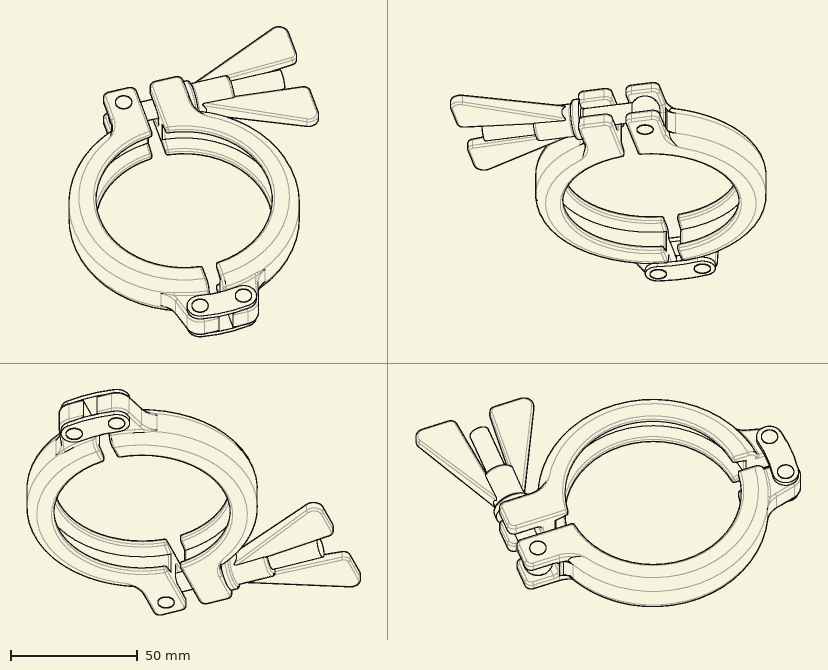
import cadquery as cq
import math


ring_outer_radius = 45.5
ring_inner_radius = 34.8
ring_half_height = 8.7
ring_outer_fillet = 4.0
groove_radius = 39.9
groove_half_height_back = 4.2
groove_half_height_mouth = 5.7
half_gap = 2.8

edge_fillet = 1.0

bolt_x = -52.3
lug_end_x = -59.5
lug_outer_y = 16.4
lug_corner_radius = 2.7
lug_blend_start_x = -45.8
lug_root_radius = 40.4
slot_end_x = -46.1
slot_corner_radius = 2.0
pivot_slot_half_height = 4.5
pivot_slot_fillet = edge_fillet
nut_slot_half_height = 3.5
nut_slot_fillet = 0.8

rivet_x = 52.6
rivet_y = 9.0
hinge_end_radius = 6.0
hinge_half_height = ring_half_height - ring_outer_fillet
hinge_flank_angle = math.radians(15)
hinge_blend_radius = 8.8
link_half_width = 5.2
link_thickness = 1.9

pin_radius = 3.3
head_standout = 0.3
dome_height = 0.7

bolt_radius = 4.0
bolt_tip_y = 55.7
pivot_y = -9.5
ball_radius = 6.0

collar_radius = 4.2
collar_bottom_y = 14.8
flange_radius = 8.0
flange_bottom_y = 15.7
flange_top_y = 19.1
barrel_radius = 6.5
barrel_top_y = 34.7
barrel_root_fillet = 0.7
wing_half_span = 24.7
wing_tip_y = 64.5
wing_root_y = 21.0
wing_lean_angle = math.radians(26.2)
wing_inner_tip_x = 7.2
wing_inner_root_x = 4.7
wing_inner_root_y = 33.4
wing_tip_half_thickness = 2.0
wing_taper_angle = math.radians(2)
wing_outer_corner_radius = 4.0
wing_inner_corner_radius = 2.7
wing_edge_fillet = 0.8

tolerance = 0.1


def polar(radius, angle, centre=(0, 0)):
    """Point at a radius and an angle from a centre."""
    return (centre[0] + radius * math.cos(angle), centre[1] + radius * math.sin(angle))


def z_cylinder(x, y, radius, half_length):
    return cq.Workplane("XY").center(x, y).circle(radius).extrude(half_length, both=True)


def y_cylinder(radius, start_y, end_y):
    return cq.Workplane("XZ", origin=(0, start_y, 0)).circle(radius).extrude(start_y - end_y)


def half_ring():
    """Ring on the +Y side of the gap, with a V groove inside and all its rims rounded."""
    section = (
        cq.Workplane("XZ")
        .moveTo(ring_inner_radius, ring_half_height)
        .lineTo(ring_outer_radius, ring_half_height)
        .lineTo(ring_outer_radius, -ring_half_height)
        .lineTo(ring_inner_radius, -ring_half_height)
        .lineTo(ring_inner_radius, -groove_half_height_mouth)
        .lineTo(groove_radius, -groove_half_height_back)
        .lineTo(groove_radius, groove_half_height_back)
        .lineTo(ring_inner_radius, groove_half_height_mouth)
        .close()
    )
    ring = section.revolve(360, (0, 0, 0), (0, 1, 0))
    ring = ring.edges(cq.selectors.RadiusNthSelector(0)).fillet(edge_fillet)
    ring = ring.edges(cq.selectors.RadiusNthSelector(-1)).fillet(ring_outer_fillet)
    size = 4 * ring_outer_radius
    gap_side = cq.Workplane("XY").box(size, size, size).translate((0, half_gap - size / 2, 0))
    return ring.cut(gap_side).faces("<Y").edges().fillet(edge_fillet)


def lug_blend(ring_radius):
    """Concave arc from the fork lug's outer edge, tangent to it and to a circle about the ring axis.

    Returns the arc's middle point, its end point and the polar angle of its end.
    """
    start_distance_squared = lug_blend_start_x**2 + lug_outer_y**2
    radius = (start_distance_squared - ring_radius**2) / (2 * (ring_radius - lug_outer_y))
    centre = (lug_blend_start_x, lug_outer_y + radius)
    end_angle = math.atan2(centre[1], centre[0])
    towards_start = -math.pi / 2
    towards_end = end_angle - math.pi
    middle = polar(radius, (towards_start + towards_end) / 2, centre)
    return middle, polar(ring_radius, end_angle), end_angle


def fork_slot(half_height):
    """Slot for the bolt, open towards -X, with rounded inner corners."""
    return (
        cq.Workplane("XY")
        .box(2 * (slot_end_x - lug_end_x), 3 * lug_outer_y, 2 * half_height)
        .edges("|Y and >X")
        .fillet(slot_corner_radius)
        .translate((lug_end_x, 0, 0))
    )


def fork_lug(slot_half_height, slot_fillet):
    """Full-height lug blended into the flat top of the ring, slotted for the bolt."""
    flat_radius = ring_outer_radius - ring_outer_fillet + edge_fillet
    blend_middle, blend_end, blend_angle = lug_blend(flat_radius)
    root_angle = math.pi - math.asin(half_gap / lug_root_radius)
    lug = (
        cq.Workplane("XY")
        .moveTo(lug_end_x, half_gap)
        .lineTo(lug_end_x, lug_outer_y)
        .lineTo(lug_blend_start_x, lug_outer_y)
        .threePointArc(blend_middle, blend_end)
        .lineTo(*polar(lug_root_radius, blend_angle))
        .threePointArc(
            polar(lug_root_radius, (blend_angle + root_angle) / 2),
            polar(lug_root_radius, root_angle),
        )
        .close()
        .extrude(ring_half_height, both=True)
    )
    lug = lug.edges("|Z and <X").fillet(lug_corner_radius)
    lug = lug.faces(">Z or <Z").edges().fillet(edge_fillet)
    lug = lug.cut(fork_slot(slot_half_height))

    reach = slot_half_height + tolerance
    slot_edges = cq.selectors.BoxSelector(
        (lug_end_x - tolerance, half_gap - tolerance, -reach),
        (slot_end_x + tolerance, lug_outer_y + tolerance, reach),
        boundingbox=True,
    )
    inner_edges = cq.selectors.BoxSelector(
        (lug_end_x + lug_corner_radius + tolerance, half_gap + tolerance, -reach),
        (slot_end_x + tolerance, lug_outer_y - tolerance, reach),
    )
    return lug.edges(slot_edges - inner_edges).fillet(slot_fillet)


def lug_web():
    """Concave web from the fork lug to the outer cylinder of the ring."""
    blend_middle, blend_end, blend_angle = lug_blend(ring_outer_radius)
    return (
        cq.Workplane("XY")
        .moveTo(lug_blend_start_x, lug_outer_y)
        .threePointArc(blend_middle, blend_end)
        .lineTo(*polar(lug_root_radius, blend_angle))
        .close()
        .extrude(hinge_half_height, both=True)
    )


def hinge_lug():
    """Lug rounded about the rivet, with a sloping flank blended into the ring."""
    rivet = (rivet_x, rivet_y)
    normal_angle = math.pi / 2 - hinge_flank_angle
    rivet_offset = math.hypot(*rivet) * math.cos(math.atan2(rivet_y, rivet_x) - normal_angle)

    centre_offset = rivet_offset + hinge_end_radius + hinge_blend_radius
    centre_distance = ring_outer_radius + hinge_blend_radius
    ring_angle = normal_angle - math.acos(centre_offset / centre_distance)
    centre = polar(centre_distance, ring_angle)
    blend_middle_angle = (ring_angle + normal_angle) / 2 + math.pi

    root_angle = math.asin(half_gap / lug_root_radius)
    lug = (
        cq.Workplane("XY")
        .moveTo(*polar(ring_outer_radius, ring_angle))
        .threePointArc(
            polar(hinge_blend_radius, blend_middle_angle, centre),
            polar(hinge_blend_radius, normal_angle + math.pi, centre),
        )
        .lineTo(*polar(hinge_end_radius, normal_angle, rivet))
        .threePointArc(
            polar(hinge_end_radius, normal_angle / 2, rivet),
            polar(hinge_end_radius, 0, rivet),
        )
        .lineTo(rivet_x + hinge_end_radius, half_gap)
        .lineTo(*polar(lug_root_radius, root_angle))
        .threePointArc(
            polar(lug_root_radius, (root_angle + ring_angle) / 2),
            polar(lug_root_radius, ring_angle),
        )
        .close()
        .extrude(hinge_half_height, both=True)
    )
    return lug.faces(">Z or <Z").edges().fillet(edge_fillet)


def is_hinge_joint(edge):
    """True for the arcs where the flat faces of the hinge lug meet the ring."""
    middle = edge.positionAt(0.5)
    on_face = abs(abs(middle.z) - hinge_half_height) < tolerance
    on_ring = abs(math.hypot(middle.x, middle.y) - ring_outer_radius) < tolerance
    beside_hinge = middle.x > lug_root_radius
    return on_face and on_ring and beside_hinge


def clamp_half(slot_half_height, slot_fillet):
    """Half ring on the +Y side with its fork lug and its hinge lug."""
    half = half_ring().union(fork_lug(slot_half_height, slot_fillet))
    half = half.union(lug_web()).union(hinge_lug())
    half = half.edges("%CIRCLE").filter(is_hinge_joint).fillet(edge_fillet)
    return half.cut(z_cylinder(rivet_x, rivet_y, pin_radius, ring_half_height))


def domed_pin(x, y, grip_half_length):
    """Pin along Z whose heads stand out a little and end in shallow domes."""
    head_z = grip_half_length + head_standout
    dome_radius = (pin_radius**2 + dome_height**2) / (2 * dome_height)
    middle_x = pin_radius / 2
    middle_z = head_z + dome_height - dome_radius + math.sqrt(dome_radius**2 - middle_x**2)
    profile = (
        cq.Workplane("XZ")
        .moveTo(0, -head_z - dome_height)
        .threePointArc((middle_x, -middle_z), (pin_radius, -head_z))
        .lineTo(pin_radius, head_z)
        .threePointArc((middle_x, middle_z), (0, head_z + dome_height))
        .close()
    )
    return profile.revolve(360, (0, 0, 0), (0, 1, 0)).translate((x, y, 0))


def link_plate():
    """Plate curved about the ring axis, with round ends about the rivets."""
    mid_radius = math.hypot(rivet_x, rivet_y)
    rivet_angle = math.atan2(rivet_y, rivet_x)
    inner_radius = mid_radius - link_half_width
    outer_radius = mid_radius + link_half_width
    upper_end = polar(link_half_width, rivet_angle + math.pi / 2, (rivet_x, rivet_y))
    lower_end = (upper_end[0], -upper_end[1])
    return (
        cq.Workplane("XY", origin=(0, 0, hinge_half_height))
        .moveTo(*polar(outer_radius, -rivet_angle))
        .threePointArc((outer_radius, 0), polar(outer_radius, rivet_angle))
        .threePointArc(upper_end, polar(inner_radius, rivet_angle))
        .threePointArc((inner_radius, 0), polar(inner_radius, -rivet_angle))
        .threePointArc(lower_end, polar(outer_radius, -rivet_angle))
        .close()
        .extrude(link_thickness)
    )


def hinge_link():
    """Two plates, above and below the hinge lugs, joined by two rivets."""
    plate = link_plate()
    link = plate
    for y in (-rivet_y, rivet_y):
        link = link.union(domed_pin(rivet_x, y, hinge_half_height + link_thickness))
    return link.union(plate.mirror("XY"))


def wing():
    """Wing on the +X side of the nut, thinning towards its tip."""
    outer_tip_angle = math.pi / 2 - wing_lean_angle
    outer_tip_x = wing_half_span + wing_outer_corner_radius * (1 / math.tan(outer_tip_angle / 2) - 1)
    wing_length = wing_tip_y - wing_root_y
    root_x = outer_tip_x - wing_length * math.tan(wing_lean_angle)
    root_half_thickness = wing_tip_half_thickness + wing_length * math.tan(wing_taper_angle)

    outline = (
        cq.Workplane("XY")
        .moveTo(0, wing_root_y)
        .lineTo(root_x, wing_root_y)
        .lineTo(outer_tip_x, wing_tip_y)
        .lineTo(wing_inner_tip_x, wing_tip_y)
        .lineTo(wing_inner_root_x, wing_inner_root_y)
        .lineTo(0, wing_inner_root_y)
        .close()
        .extrude(2 * root_half_thickness, both=True)
    )
    inner_tip = cq.selectors.NearestToPointSelector((wing_inner_tip_x, wing_tip_y, 0))
    outline = outline.edges("|Z and >X").fillet(wing_outer_corner_radius)
    outline = outline.edges(inner_tip).fillet(wing_inner_corner_radius)

    taper = (
        cq.Workplane("YZ")
        .moveTo(wing_root_y, -root_half_thickness)
        .lineTo(wing_tip_y, -wing_tip_half_thickness)
        .lineTo(wing_tip_y, wing_tip_half_thickness)
        .lineTo(wing_root_y, root_half_thickness)
        .close()
        .extrude(outer_tip_x)
    )
    return outline.intersect(taper).faces(">Z or <Z").edges().fillet(wing_edge_fillet)


def wing_nut():
    """Collar, flange and barrel along Y, with two wings."""
    flange = y_cylinder(flange_radius, flange_bottom_y, flange_top_y)
    flange = flange.faces(">Y").edges().fillet(edge_fillet)
    barrel = y_cylinder(barrel_radius, flange_top_y, barrel_top_y)
    barrel = barrel.faces(">Y").edges().fillet(edge_fillet)
    barrel_root = cq.selectors.BoxSelector(
        (-barrel_radius - tolerance, flange_top_y - tolerance, -barrel_radius - tolerance),
        (barrel_radius + tolerance, flange_top_y + tolerance, barrel_radius + tolerance),
        boundingbox=True,
    )
    nut = flange.union(barrel).edges(barrel_root).fillet(barrel_root_fillet)
    nut = nut.union(y_cylinder(collar_radius, collar_bottom_y, flange_bottom_y))
    return nut.union(wing()).union(wing().mirror("YZ"))


def swing_bolt():
    """Bolt with its wing nut, its ball trimmed to fit the fork, and its pivot pin."""
    ball = cq.Workplane("XY").sphere(ball_radius)
    fork_space = cq.Workplane("XY").box(2 * ball_radius, 2 * ball_radius, 2 * pivot_slot_half_height)
    ball = ball.intersect(fork_space).translate((0, pivot_y, 0))
    bolt = wing_nut().union(y_cylinder(bolt_radius, pivot_y, bolt_tip_y))
    bolt = bolt.union(ball).union(domed_pin(0, pivot_y, ring_half_height))
    return bolt.translate((bolt_x, 0, 0))


link = hinge_link()
bolt = swing_bolt()

nut_side_half = clamp_half(nut_slot_half_height, nut_slot_fillet).cut(bolt)

pivot_side_half = clamp_half(pivot_slot_half_height, pivot_slot_fillet).mirror("XZ")
pivot_side_half = pivot_side_half.cut(z_cylinder(bolt_x, pivot_y, pin_radius, ring_half_height))

result = cq.Compound.makeCompound([
    nut_side_half.val(),
    pivot_side_half.val(),
    link.val(),
    bolt.val(),
])